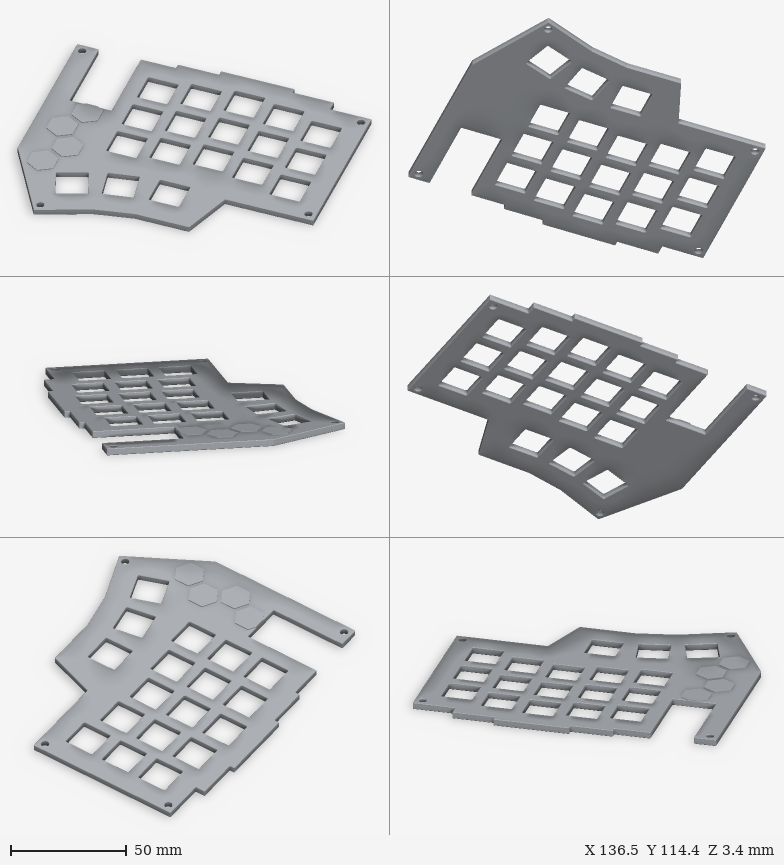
import cadquery as cq
import math

plate_width = 136.5
plate_depth = 114.4
plate_thickness = 3.0
outline_corner_radius = 0.3
edge_chamfer = 0.2

key_size = 14.0
key_corner_radius = 0.5
four_pitches = 76.2
key_pitch = four_pitches / 4
edge_margin = 16.9
stagger_step = key_pitch / 8
row_count = 3
column_steps = (2, 1, 0, 1, 3)
column_drops = [steps * stagger_step for steps in column_steps]

first_column_x = plate_width - edge_margin - four_pitches
column_xs = [first_column_x + column * key_pitch for column in range(len(column_steps))]
column_tops = [plate_depth - drop for drop in column_drops]

thumb_keys = [
    (column_xs[1] + key_pitch / 2, 30.7, 0),
    (50.4, 28.4, 10),
    (30.2, 22.4, 20),
]

slot_left = 10.0
slot_right = 29.4
slot_bottom = 73.5

left_edge_bottom = 36.0
tip_x = 20.9
tip_y = -0.07
thumb_bend = (44.9, 9.1)
thumb_edge_y = 12.5
thumb_edge_left = 62.7
thumb_edge_right = 87.8
step_corner_x = 95.9
right_edge_bottom = column_tops[4] - 2 * edge_margin - (row_count - 1) * key_pitch

screw_diameter = 3.4
screw_inset = 3.5
tip_screw = (22.4, 4.1)

hex_height = 0.4
hex_across_corners = 13.9
hex_left_x = 13.2
hex_right_x = 20.2
hex_top_y = 68.0
hex_step_y = 12.2
hex_count = 4
hex_sides = 6


def make_plate():
    """Flat plate with a stepped top edge that follows the column stagger."""
    points = [
        (tip_x, tip_y),
        thumb_bend,
        (thumb_edge_left, thumb_edge_y),
        (thumb_edge_right, thumb_edge_y),
        (step_corner_x, right_edge_bottom),
        (plate_width, right_edge_bottom),
        (plate_width, column_tops[4]),
        (column_xs[3] + edge_margin, column_tops[4]),
        (column_xs[3] + edge_margin, column_tops[3]),
        (column_xs[2] + edge_margin, column_tops[3]),
        (column_xs[2] + edge_margin, column_tops[2]),
        (column_xs[2] - edge_margin, column_tops[2]),
        (column_xs[2] - edge_margin, column_tops[1]),
        (column_xs[1] - edge_margin, column_tops[1]),
        (column_xs[1] - edge_margin, column_tops[0]),
        (slot_right, column_tops[0]),
        (slot_right, slot_bottom),
        (slot_left, slot_bottom),
        (slot_left, column_tops[0]),
        (0, column_tops[0]),
        (0, left_edge_bottom),
    ]
    plate = cq.Workplane("XY").polyline(points).close().extrude(plate_thickness)
    return plate.edges("|Z").fillet(outline_corner_radius)


def make_key_cutter(x, y, angle=0):
    """Square through-cutter with rounded corners, turned about its centre."""
    cutter = cq.Workplane("XY").rect(key_size, key_size).extrude(plate_thickness)
    cutter = cutter.edges("|Z").fillet(key_corner_radius)
    return cutter.rotate((0, 0, 0), (0, 0, 1), angle).translate((x, y, 0))


def make_hexagons():
    """Raised hexagons; the highest one is trimmed flush with the slot floor."""
    centres = []
    for index in range(hex_count):
        x = hex_right_x if index % 2 == 0 else hex_left_x
        centres.append((x, hex_top_y - index * hex_step_y))
    corner_angles = [(2 * corner + 1) * math.pi / hex_sides for corner in range(hex_sides)]
    corner_radius = hex_across_corners / 2
    corners = [(corner_radius * math.cos(a), corner_radius * math.sin(a)) for a in corner_angles]
    hexagon = cq.Workplane("XY").polyline(corners).close().extrude(hex_height)
    pads = cq.Workplane("XY")
    for x, y in centres:
        pads = pads.add(hexagon.translate((x, y, plate_thickness)))
    pads = pads.combine()
    below_slot = cq.Workplane("XY").box(
        plate_width, slot_bottom, plate_thickness + hex_height, centered=False
    )
    return pads.intersect(below_slot)


result = make_plate()

for column_x, column_top in zip(column_xs, column_tops):
    for row in range(row_count):
        key_y = column_top - edge_margin - row * key_pitch
        result = result.cut(make_key_cutter(column_x, key_y))

for thumb_x, thumb_y, thumb_angle in thumb_keys:
    result = result.cut(make_key_cutter(thumb_x, thumb_y, thumb_angle))

screw_points = [
    (screw_inset, column_tops[0] - screw_inset),
    (plate_width - screw_inset, column_tops[4] - screw_inset),
    (plate_width - screw_inset, right_edge_bottom + screw_inset),
    tip_screw,
]
screws = cq.Workplane("XY").pushPoints(screw_points).circle(screw_diameter / 2).extrude(plate_thickness)
result = result.cut(screws)

result = result.faces("|Z").edges().chamfer(edge_chamfer)
result = result.union(make_hexagons())